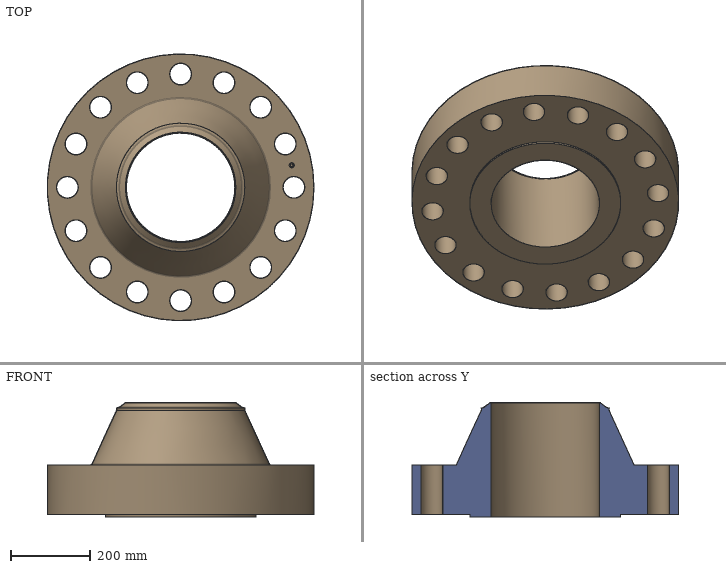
import cadquery as cq
import math

flange_diameter = 673.0
flange_thickness = 126.0
face_diameter = 381.0
face_height = 6.0

total_height = 289.0
hub_base_diameter = 449.5
hub_root_fillet = 3.0
neck_diameter = 324.0
neck_height = 6.0
bore_diameter = 273.0

land_diameter = 278.5
bevel_root_diameter = 309.0
bevel_height = 11.5
lip_height = 2.0
bevel_root_fillet = 3.5

bolt_count = 16
bolt_circle_diameter = 571.0
bolt_hole_diameter = 54.0

small_hole_diameter = 7.0
small_hole_depth = 13.0
counterbore_diameter = 13.0
counterbore_depth = 2.0

flange_top = face_height + flange_thickness
bevel_start = total_height - bevel_height
neck_top = bevel_start - lip_height
neck_bottom = neck_top - neck_height


def revolved_body():
    """Flange, raised face, hub and bored neck as one revolved section."""
    section = (
        cq.Workplane("XZ")
        .moveTo(bore_diameter / 2, 0)
        .lineTo(face_diameter / 2, 0)
        .lineTo(face_diameter / 2, face_height)
        .lineTo(flange_diameter / 2, face_height)
        .lineTo(flange_diameter / 2, flange_top)
        .lineTo(hub_base_diameter / 2, flange_top)
        .lineTo(neck_diameter / 2, neck_bottom)
        .lineTo(neck_diameter / 2, neck_top)
        .lineTo(bevel_root_diameter / 2, bevel_start)
        .lineTo(land_diameter / 2, total_height)
        .lineTo(bore_diameter / 2, total_height)
        .close()
    )
    return section.revolve(360, (0, 0, 0), (0, 1, 0))


def bolt_holes():
    """Cutters for the full ring of through holes."""
    return (
        cq.Workplane("XY")
        .polarArray(bolt_circle_diameter / 2, 0, 360, bolt_count)
        .circle(bolt_hole_diameter / 2)
        .extrude(flange_top)
    )


def cut_small_hole(body):
    """Cut the counterbored blind hole, half a bolt pitch round from +X."""
    angle = math.radians(360 / bolt_count / 2)
    radius = bolt_circle_diameter / 2
    return (
        body.copyWorkplane(cq.Workplane("XY", origin=(0, 0, flange_top)))
        .pushPoints([(radius * math.cos(angle), radius * math.sin(angle))])
        .cboreHole(small_hole_diameter, counterbore_diameter, counterbore_depth, small_hole_depth)
    )


def fillet_ring(body, diameter, height, fillet_radius):
    """Round the circular edge of the given diameter lying at the given height."""
    reach = diameter / 2 + fillet_radius
    margin = fillet_radius / 4
    ring = cq.selectors.BoxSelector(
        (-reach, -reach, height - margin),
        (reach, reach, height + margin),
        boundingbox=True,
    )
    return body.edges(ring).fillet(fillet_radius)


result = revolved_body()
result = fillet_ring(result, hub_base_diameter, flange_top, hub_root_fillet)
result = fillet_ring(result, bevel_root_diameter, bevel_start, bevel_root_fillet)
result = result.cut(bolt_holes())
result = cut_small_hole(result)